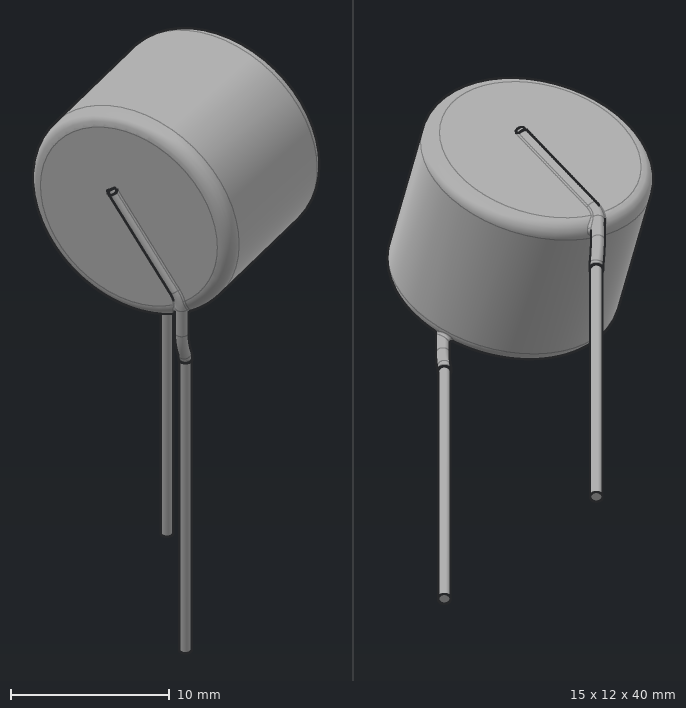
import cadquery as cq
import math


body_diameter = 15.0
body_depth = 11.5
body_edge_radius = 1.0

overall_depth = 12.0
overall_height = 40.0
lead_spacing = 7.5
coating_diameter = 0.9
wire_diameter = 0.8

tip_x = -1.3
tip_z = 1.65
bare_tip_length = 0.3
face_slant = 37.0
face_bend_radius = 2.0

seam_radius = 0.15
seam_tolerance = 0.0005

kink_top_z = -7.7
kink_angle = 23.5
kink_upper_radius = 4.55
kink_lower_radius = 0.9
coating_end_length = 0.15

lead_x = lead_spacing / 2
face_lead_y = (coating_diameter - overall_depth) / 2
bottom_z = body_diameter / 2 - overall_height

slant = math.radians(face_slant)
corner_z = tip_z - (lead_x - tip_x) / math.tan(slant)
bend_length = face_bend_radius * math.tan(slant / 2)
down = cq.Vector(0, 0, -1)
slant_direction = cq.Vector(math.sin(slant), 0, -math.cos(slant))

kink_turn = math.radians(kink_angle)
kink_direction = cq.Vector(0, math.sin(kink_turn), -math.cos(kink_turn))


def kink_step(radius):
    """Return the inward and downward travel of one kink arc, vertical at one end."""
    return cq.Vector(0, radius * (1 - math.cos(kink_turn)), -radius * math.sin(kink_turn))


def make_body():
    back_plane = cq.Workplane("XZ", origin=(0, body_depth / 2, 0))
    disc = back_plane.circle(body_diameter / 2).extrude(body_depth)
    return disc.edges().fillet(body_edge_radius)


def lead_section(origin, direction, diameter):
    return cq.Workplane(cq.Plane(origin=origin, normal=direction)).circle(diameter / 2)


def make_lead():
    """Return the coating and the bare wire ends of the lead on the -Y face."""
    tip = cq.Vector(tip_x, face_lead_y, tip_z)
    coating_start = tip + slant_direction * bare_tip_length
    corner = cq.Vector(lead_x, face_lead_y, corner_z)
    bend_start = corner - slant_direction * bend_length
    bend_end = corner + down * bend_length

    kink_top = cq.Vector(lead_x, face_lead_y, kink_top_z)
    kink_middle = kink_top + kink_step(kink_upper_radius)
    kink_bottom = kink_middle + kink_step(kink_lower_radius)
    coating_end = kink_bottom + down * coating_end_length

    centre_line = cq.Wire.assembleEdges([
        cq.Edge.makeLine(coating_start, bend_start),
        cq.Edge.makeTangentArc(bend_start, slant_direction, bend_end),
        cq.Edge.makeLine(bend_end, kink_top),
        cq.Edge.makeTangentArc(kink_top, down, kink_middle),
        cq.Edge.makeTangentArc(kink_middle, kink_direction, kink_bottom),
        cq.Edge.makeLine(kink_bottom, coating_end),
    ])
    coating = lead_section(coating_start, slant_direction, coating_diameter).sweep(centre_line)
    bare_tip = lead_section(tip, slant_direction, wire_diameter).extrude(bare_tip_length)
    wire_length = coating_end.z - bottom_z
    wire = lead_section(coating_end, down, wire_diameter).extrude(wire_length)
    return coating, bare_tip.union(wire)


def turn_to_back(part):
    """Turn a part of the -Y lead half a turn about Z to make the +Y lead."""
    return part.rotate((0, 0, 0), (0, 0, 1), 180)


def join_with_fillet(body, lead, radius):
    """Fuse a lead to the body and round the seam where their surfaces meet."""
    joined = body.union(lead)

    def on_seam(edge):
        middle = cq.Vertex.makeVertex(*edge.positionAt(0.5).toTuple())
        return max(body.val().distance(middle), lead.val().distance(middle)) < seam_tolerance

    seam = [edge for edge in joined.edges().vals() if on_seam(edge)]
    return joined.newObject(seam).fillet(radius)


coating, bare_ends = make_lead()
result = make_body()
for coated_part, bare_part in (
    (coating, bare_ends),
    (turn_to_back(coating), turn_to_back(bare_ends)),
):
    result = join_with_fillet(result, coated_part, seam_radius).union(bare_part)